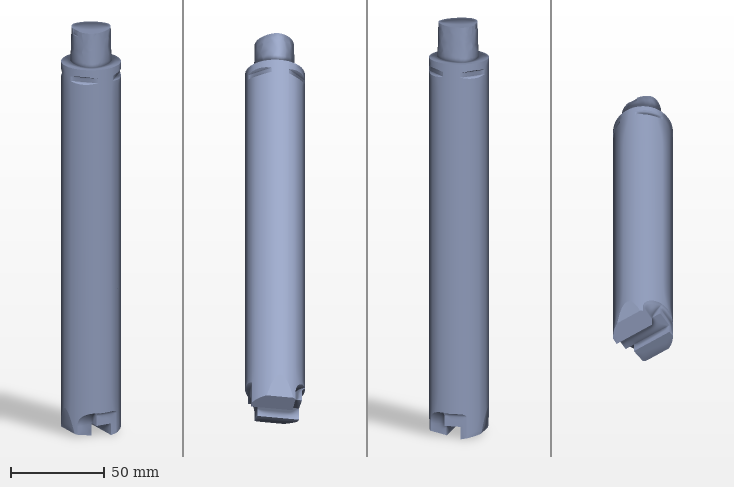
import cadquery as cq
import math

body_diameter = 32.0
total_length = 227.0
shank_length = 19.0

shank_mean_diameter = 22.0
shank_eccentricity = 0.7
shank_taper = 1.0 / 20.0
shank_curve_points = 48
key_notch_width = 5.0
key_notch_height = 3.0
key_notch_depth = 0.6

groove_count = 4
groove_first_angle = 45.0
groove_drop = 6.1
groove_depth = 1.85
groove_floor_height = 2.5
groove_mouth_height = 4.4

flat_distance = 13.9
flat_top = 14.3
flat_fillet = 2.0
slot_width = 9.0
slot_depth = 6.9
flute_distance = 8.7
flute_top = 14.7
flute_fillet = 7.9
facet_top = 14.9
facet_base = 2.1
facet_base_distance = 14.24
tip_relief_rise = 2.1
short_jaw_setback = 0.3

body_radius = body_diameter / 2
body_length = total_length - shank_length
margin = 5.0


def lobed_section(mean_diameter):
    """Closed three-lobed curve with one lobe pointing towards +Y."""
    def point(t):
        angle = 2 * math.pi * t
        support = mean_diameter / 2 - shank_eccentricity * math.sin(3 * angle)
        slope = -3 * shank_eccentricity * math.cos(3 * angle)
        x = support * math.cos(angle) - slope * math.sin(angle)
        y = support * math.sin(angle) + slope * math.cos(angle)
        return x, y
    return [point(i / shank_curve_points) for i in range(shank_curve_points)]


def make_shank():
    top_diameter = shank_mean_diameter - shank_taper * shank_length
    shank = (
        cq.Workplane("XY", origin=(0, 0, body_length))
        .spline(lobed_section(shank_mean_diameter), periodic=True).close()
        .workplane(offset=shank_length)
        .spline(lobed_section(top_diameter), periodic=True).close()
        .loft(ruled=True)
    )
    notch_floor = top_diameter / 2 - shank_eccentricity - key_notch_depth
    notch = cq.Workplane("XY").box(
        key_notch_width, margin, key_notch_height, centered=(True, False, False)
    ).translate((0, -notch_floor - margin, total_length - key_notch_height))
    return shank.cut(notch)


def gripper_groove():
    """Trapezoidal groove across the +X side of the body."""
    z = body_length - groove_drop
    floor = groove_floor_height / 2
    mouth = groove_mouth_height / 2
    floor_x = body_radius - groove_depth
    return (
        cq.Workplane("XZ")
        .moveTo(floor_x, z - floor)
        .lineTo(body_radius, z - mouth)
        .lineTo(body_radius, z + mouth)
        .lineTo(floor_x, z + floor)
        .close()
        .extrude(body_radius, both=True)
    )


def stepped_pocket(floor_x, top, fillet, y_start, y_end):
    """Pocket on the +X side, open at the tip, with a rounded upper corner."""
    outer_x = body_radius + margin
    diagonal = fillet * (1 - math.sqrt(0.5))
    return (
        cq.Workplane("XZ", origin=(0, y_end, 0))
        .moveTo(floor_x, -margin)
        .lineTo(floor_x, top - fillet)
        .threePointArc((floor_x + diagonal, top - diagonal), (floor_x + fillet, top))
        .lineTo(outer_x, top)
        .lineTo(outer_x, -margin)
        .close()
        .extrude(y_end - y_start)
    )


def half_head_cuts():
    """Side flat, flute and tilted facet for one half of the head."""
    flat = stepped_pocket(flat_distance, flat_top, flat_fillet, -body_radius, body_radius)
    flute = stepped_pocket(flute_distance, flute_top, flute_fillet, -body_radius, -slot_width / 2)
    lean = (body_radius - facet_base_distance) / (facet_top - facet_base)
    facet = (
        cq.Workplane("YZ")
        .moveTo(-body_radius, facet_top)
        .lineTo(-facet_base_distance + lean * (facet_base + margin), -margin)
        .lineTo(-body_radius - margin, -margin)
        .lineTo(-body_radius - margin, facet_top)
        .close()
        .extrude(body_radius, both=True)
    )
    return [flat, flute, facet]


def tip_relief(setback):
    """Material under the sloping end face of the -Y jaw, raised by the setback."""
    inner_y = -slot_width / 2
    slope = tip_relief_rise / (facet_base_distance + inner_y)
    return (
        cq.Workplane("YZ")
        .moveTo(inner_y, setback)
        .lineTo(-body_radius, setback + slope * (body_radius + inner_y))
        .lineTo(-body_radius, -margin)
        .lineTo(inner_y, -margin)
        .close()
        .extrude(body_radius, both=True)
    )


def turned(shape, angle):
    return shape.rotate((0, 0, 0), (0, 0, 1), angle)


result = cq.Workplane("XY").circle(body_radius).extrude(body_length).union(make_shank())

for i in range(groove_count):
    result = result.cut(turned(gripper_groove(), groove_first_angle + i * 360 / groove_count))

for half_turn, setback in ((0, 0), (180, short_jaw_setback)):
    for tool in half_head_cuts() + [tip_relief(setback)]:
        result = result.cut(turned(tool, half_turn))

cross_slot = cq.Workplane("XY").box(
    2 * body_diameter, slot_width, slot_depth, centered=(True, True, False)
)
result = result.cut(cross_slot)